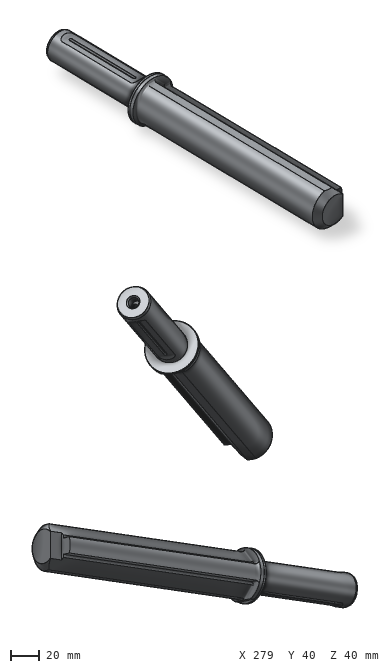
import cadquery as cq
import math

length = 279.0
flange_start = 90.5
rim_width = 2.0
flange_end = 95.5

journal_diameter = 25.0
journal_radius = journal_diameter / 2
flange_diameter = 40.0
flange_radius = flange_diameter / 2
flange_step_radius = 19.8
flange_flat_depth = 17.9
body_diameter = 35.0
body_radius = body_diameter / 2

journal_chamfer_length = 2.0
journal_chamfer_depth = 0.8
undercut_length = 2.0
undercut_depth = 0.5
rim_chamfer = 0.3
body_root_fillet = 2.2
body_end_chamfer = 5.0

flat_spacing = 33.2
flat_height = flat_spacing / 2
slope_start = 1.25
slope_end = 9.8
slope_angle = 45.0
rib_half_height = 5.9
rib_end = 268.7
end_face_y = 8.0

journal_flat_spacing = 21.8
journal_flat_height = journal_flat_spacing / 2
journal_flat_start = 10.3
journal_flat_end = 79.2
runout_radius = 5.0
groove_start = 11.5
groove_end = 77.8
groove_radius = 1.0

hole_radius = 4.0
hole_depth = 8.5
countersink_radius = 5.0
countersink_depth = 1.0

passage_radius = 2.0
passage_offset = 1.7
passage_length = 8.5
passage_angle = 30.0

tolerance = 0.003


def cylinder(start, end, radius):
    return cq.Workplane("YZ").workplane(offset=start).circle(radius).extrude(end - start)


def revolved(profile):
    """Solid of revolution about X from (x, radius) points."""
    return cq.Workplane("XY").polyline(profile).close().revolve(360, (0, 0, 0), (1, 0, 0))


def journal():
    profile = [
        (0, 0),
        (0, journal_radius - journal_chamfer_depth),
        (journal_chamfer_length, journal_radius),
        (flange_start - undercut_length, journal_radius),
        (flange_start, journal_radius - undercut_depth),
        (flange_start, 0),
    ]
    return revolved(profile)


def flange():
    rim = cylinder(flange_start, flange_start + rim_width, flange_radius)
    rim = rim.faces("<X").chamfer(rim_chamfer)
    return rim.union(cylinder(flange_start, flange_end, flange_step_radius))


def flange_flat():
    """Cutter for the flat under the flange, behind the rim and across the root fillet."""
    cut = cq.Workplane("XY").box(
        flange_end + body_root_fillet - flange_start - rim_width,
        2 * flange_radius,
        flange_radius - flange_flat_depth,
        centered=(False, True, False),
    )
    return cut.translate((flange_start + rim_width, 0, -flange_radius))


def notch(side):
    """Stock removed from the bar above (side 1) or below (side -1) the rib."""
    slope_drop = (slope_end - slope_start) * math.tan(math.radians(slope_angle))
    profile = [
        (-body_radius, body_radius),
        (-body_radius, flat_height),
        (slope_start, flat_height),
        (slope_end, flat_height - slope_drop),
        (slope_end, rib_half_height),
        (body_radius, rib_half_height),
        (body_radius, body_radius),
    ]
    return (
        cq.Workplane("YZ")
        .workplane(offset=flange_end)
        .polyline([(y, side * z) for y, z in profile])
        .close()
        .extrude(length - flange_end)
    )


def rib_end_cut():
    cut = cq.Workplane("XY").box(
        length - rib_end, body_radius, 2 * body_radius, centered=(False, False, True)
    )
    return cut.translate((rib_end, end_face_y, 0))


def body():
    bar = cylinder(flange_end, length, body_radius).faces(">X").chamfer(body_end_chamfer)
    return bar.cut(notch(1)).cut(notch(-1)).cut(rib_end_cut())


def journal_flat():
    """Cutter for the upper flat, with a round runout at each end."""
    runout_centre = journal_flat_height + runout_radius
    cut = (
        cq.Workplane("XY")
        .box(
            journal_flat_end - journal_flat_start,
            2 * journal_radius,
            runout_radius,
            centered=(False, True, False),
        )
        .translate((journal_flat_start, 0, journal_flat_height))
    )
    for x in (journal_flat_start, journal_flat_end):
        runout = (
            cq.Workplane("XZ")
            .center(x, runout_centre)
            .circle(runout_radius)
            .extrude(journal_radius, both=True)
        )
        cut = cut.union(runout)
    return cut


def groove():
    """Round-bottomed cutter lying along the middle of the upper flat."""
    first_centre = groove_start + groove_radius
    last_centre = groove_end - groove_radius
    cut = cylinder(first_centre, last_centre, groove_radius)
    for x in (first_centre, last_centre):
        cut = cut.union(cq.Workplane("XY").sphere(groove_radius).translate((x, 0, 0)))
    return cut.translate((0, 0, journal_flat_height))


def is_body_root(edge):
    """True for the edges where the body outline meets the flange."""
    box = edge.BoundingBox()
    in_plane = abs(box.xmin - flange_end) < tolerance and abs(box.xmax - flange_end) < tolerance
    return in_plane and box.ymax < body_radius + tolerance


def centre_hole():
    profile = [
        (0, 0),
        (0, countersink_radius),
        (countersink_depth, hole_radius),
        (hole_depth, hole_radius),
        (hole_depth, 0),
    ]
    return revolved(profile)


def passage():
    """Cutter for the inclined passage, started inside the centre hole so its mouth is complete."""
    angle = math.radians(passage_angle)
    direction = cq.Vector(math.cos(angle), math.sin(angle), 0)
    mouth = cq.Vector(hole_depth, passage_offset, 0)
    start = mouth - direction * passage_radius
    return cq.Solid.makeCylinder(passage_radius, passage_length + passage_radius, start, direction)


flanged_body = flange().union(body())
root_edges = [edge for edge in flanged_body.edges().vals() if is_body_root(edge)]
flanged_body = flanged_body.newObject(root_edges).fillet(body_root_fillet).cut(flange_flat())

upper_cut = journal_flat().union(groove())
lower_cut = upper_cut.mirror("XY")

result = flanged_body.union(journal()).cut(upper_cut).cut(lower_cut)
result = result.cut(centre_hole()).cut(passage())